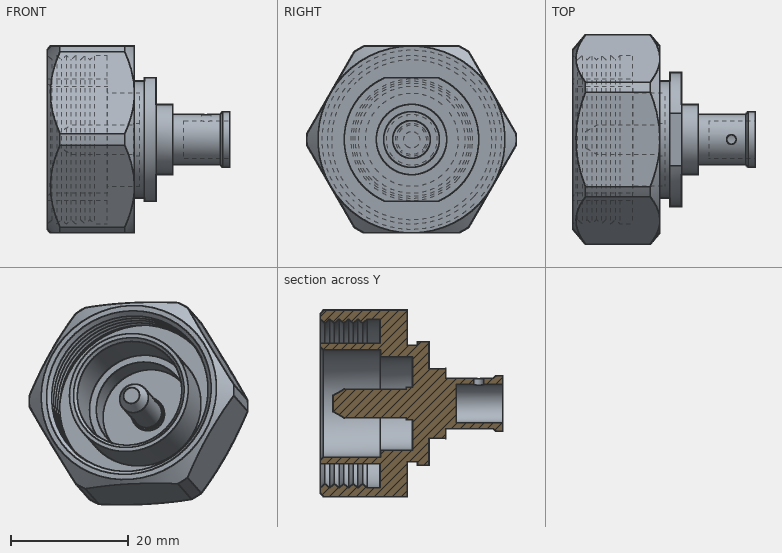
import cadquery as cq
import math


nut_length = 14.8
across_flats = 31.75
corner_radius = 17.8
mouth_chamfer_radius = 15.23
mouth_chamfer_length = 2.17
rear_chamfer_length = 1.65
mouth_radius = 14.3
thread_minor_radius = 13.6
cavity_depth = 10.15

thread_pitch = 1.6
tooth_count = 5

sleeve_radius = 10.32
sleeve_bore_radius = 9.07
sleeve_lip_radius = 9.6
sleeve_lip_depth = 0.55
ledge_depth = 10.2
ledge_bore_radius = 7.9
bore_depth = 15.65

pin_radius = 2.5
pin_tip_radius = 1.4
pin_tip_x = 2.15
pin_taper_length = 1.95
pin_root_radius = 2.78
pin_root_length = 1.05

collar_radius = 9.95
collar_end = 16.47
flange_radius = 11.42
flange_across_flats = 21.03
flange_end = 18.45
neck_radius = 5.98
neck_end = 21.35
tail_radius = 4.3
bead_radius = 4.73
bead_start = 29.35
bead_chamfer = 0.43
total_length = 31.0

hole_diameter = 1.6
hole_x = 26.95
cable_bore_radius = 3.2
cable_bore_start = 23.13


def revolve(points):
    """Turn an (x, radius) outline about the X axis."""
    return cq.Workplane("XY").polyline(points).close().revolve(360, (0, 0, 0), (1, 0, 0))


def cylinder(start, end, radius):
    return cq.Workplane("YZ").workplane(offset=start).circle(radius).extrude(end - start)


def make_nut():
    """Hexagon with flats at top and bottom, turned down at the corners and both ends."""
    across_corners = across_flats / math.cos(math.pi / 6)
    hexagon = cq.Workplane("YZ").polygon(6, across_corners).extrude(nut_length)
    envelope = revolve([
        (0, 0),
        (0, mouth_chamfer_radius),
        (mouth_chamfer_length, corner_radius),
        (nut_length - rear_chamfer_length, corner_radius),
        (nut_length, across_flats / 2),
        (nut_length, 0),
    ])
    return hexagon.intersect(envelope)


def make_cavity():
    """Space inside the nut: each tooth tapers in to its crest, then back to the mouth radius."""
    outline = [(0, 0), (0, mouth_radius)]
    for tooth in range(1, tooth_count + 1):
        tooth_end = tooth * thread_pitch
        outline += [
            (tooth_end - thread_pitch / 2, thread_minor_radius),
            (tooth_end, mouth_radius),
        ]
    outline += [(cavity_depth, mouth_radius), (cavity_depth, 0)]
    return revolve(outline)


def make_sleeve_bore():
    """Stepped bore of the sleeve, flared at its lip."""
    return revolve([
        (0, 0),
        (0, sleeve_lip_radius),
        (sleeve_lip_depth, sleeve_bore_radius),
        (ledge_depth, sleeve_bore_radius),
        (ledge_depth, ledge_bore_radius),
        (bore_depth, ledge_bore_radius),
        (bore_depth, 0),
    ])


def make_pin():
    """Tapered pin standing on a slightly wider root at the bottom of the bore."""
    root_start = bore_depth - pin_root_length
    return revolve([
        (pin_tip_x, 0),
        (pin_tip_x, pin_tip_radius),
        (pin_tip_x + pin_taper_length, pin_radius),
        (root_start, pin_radius),
        (root_start, pin_root_radius),
        (flange_end, pin_root_radius),
        (flange_end, 0),
    ])


def make_flange():
    """Round flange with two parallel wrench flats, top and bottom."""
    thickness = flange_end - collar_end
    flats = cq.Workplane("YZ").workplane(offset=collar_end)
    flats = flats.rect(2 * flange_radius, flange_across_flats).extrude(thickness)
    return cylinder(collar_end, flange_end, flange_radius).intersect(flats)


def make_tail():
    """Stepped cable end with a bead at its rear, a blind bore and a radial hole."""
    tail = revolve([
        (flange_end, 0),
        (flange_end, neck_radius),
        (neck_end, neck_radius),
        (neck_end, tail_radius),
        (bead_start, tail_radius),
        (bead_start + bead_chamfer, bead_radius),
        (total_length, bead_radius),
        (total_length, 0),
    ])
    cable_bore = cylinder(cable_bore_start, total_length, cable_bore_radius)
    hole = cq.Workplane("XY").center(hole_x, 0).circle(hole_diameter / 2).extrude(tail_radius)
    return tail.cut(cable_bore).cut(hole)


result = (
    make_nut()
    .cut(make_cavity())
    .union(cylinder(0, nut_length, sleeve_radius))
    .union(cylinder(nut_length, collar_end, collar_radius))
    .union(make_flange())
    .cut(make_sleeve_bore())
    .union(make_pin())
    .union(make_tail())
)